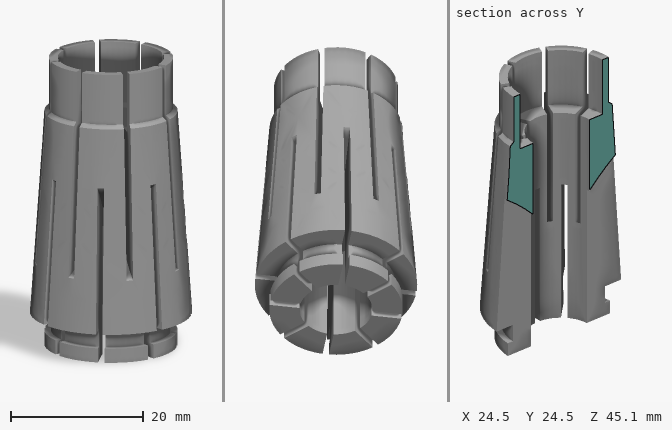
import cadquery as cq
import math

TOTAL_HEIGHT = 45.1
FLANGE_TOP = 2.2
NECK_TOP = 5.05
CONE_TOP = 36.7
SHOULDER_TOP = 37.25
COUNTERBORE_FLOOR = 35.65

FLANGE_DIAMETER = 20.1
NECK_DIAMETER = 18.15
CONE_BASE_DIAMETER = 24.5
CONE_TOP_DIAMETER = 20.1
COLLAR_DIAMETER = 18.75
COUNTERBORE_DIAMETER = 16.05
BORE_DIAMETER = 11.0

SLOTS_PER_SET = 8
SLOT_PITCH = 360 / SLOTS_PER_SET
SLOT_WIDTH = 1.0
CUTTER_MARGIN = 0.68

LOWER_SLOT_END = 27.6
LOWER_SAW_RADIUS = 36.1
LOWER_SAW_OFFSET = 31.5

UPPER_SLOT_END = 13.3
UPPER_SAW_RADIUS = 21.65
UPPER_SAW_OFFSET = 19.3


def cone_radius(height):
    """Outer radius of the conical body at a given height."""
    fraction = (height - NECK_TOP) / (CONE_TOP - NECK_TOP)
    diameter = CONE_BASE_DIAMETER + fraction * (CONE_TOP_DIAMETER - CONE_BASE_DIAMETER)
    return diameter / 2


def sleeve():
    """Turned body with a through bore and a counterbore at the top."""
    profile = [
        (BORE_DIAMETER / 2, 0),
        (FLANGE_DIAMETER / 2, 0),
        (FLANGE_DIAMETER / 2, FLANGE_TOP),
        (NECK_DIAMETER / 2, FLANGE_TOP),
        (NECK_DIAMETER / 2, NECK_TOP),
        (CONE_BASE_DIAMETER / 2, NECK_TOP),
        (CONE_TOP_DIAMETER / 2, CONE_TOP),
        (COLLAR_DIAMETER / 2, SHOULDER_TOP),
        (COLLAR_DIAMETER / 2, TOTAL_HEIGHT),
        (COUNTERBORE_DIAMETER / 2, TOTAL_HEIGHT),
        (COUNTERBORE_DIAMETER / 2, COUNTERBORE_FLOOR),
        (BORE_DIAMETER / 2, COUNTERBORE_FLOOR),
    ]
    return cq.Workplane("XZ").polyline(profile).close().revolve(360, (0, 0), (0, 1))


def slot_cutter(open_height, end_height, saw_radius, saw_offset):
    """Radial slot along +X, from an open end to an arc that meets the cone at end_height."""
    direction = math.copysign(1, end_height - open_height)

    def arc_rise(radius):
        """Height of the saw rim above its centre line at a distance from the Z axis."""
        return math.sqrt(saw_radius**2 - (saw_offset - radius) ** 2)

    def arc_point(radius):
        rise_from_cone = arc_rise(radius) - arc_rise(cone_radius(end_height))
        return (radius, end_height + direction * rise_from_cone)

    inner = BORE_DIAMETER / 2 - CUTTER_MARGIN
    outer = CONE_BASE_DIAMETER / 2 + CUTTER_MARGIN
    section = (
        cq.Workplane("XZ")
        .moveTo(inner, open_height)
        .lineTo(outer, open_height)
        .lineTo(*arc_point(outer))
        .threePointArc(arc_point((inner + outer) / 2), arc_point(inner))
        .close()
    )
    return section.extrude(SLOT_WIDTH / 2, both=True)


def cut_slots(body, cutter, first_angle):
    """Cut one set of evenly spaced slots, starting at an angle from +X."""
    for i in range(SLOTS_PER_SET):
        angle = first_angle + i * SLOT_PITCH
        body = body.cut(cutter.rotate((0, 0, 0), (0, 0, 1), angle))
    return body


lower_cutter = slot_cutter(-CUTTER_MARGIN, LOWER_SLOT_END, LOWER_SAW_RADIUS, LOWER_SAW_OFFSET)
upper_cutter = slot_cutter(
    TOTAL_HEIGHT + CUTTER_MARGIN, UPPER_SLOT_END, UPPER_SAW_RADIUS, UPPER_SAW_OFFSET
)

result = sleeve()
result = cut_slots(result, lower_cutter, 0)
result = cut_slots(result, upper_cutter, SLOT_PITCH / 2)